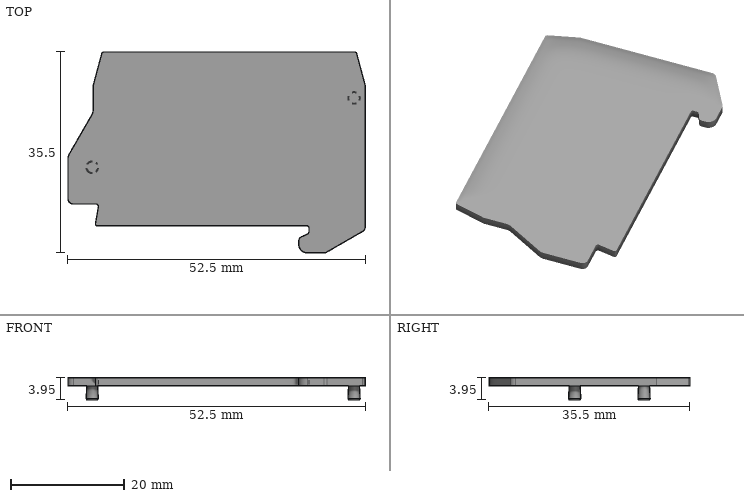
import cadquery as cq
import math

length = 52.5
width = 35.5
plate_thickness = 1.45

shoulder_y = 29.55
shoulder_run = (width - shoulder_y) * math.tan(math.radians(15))

flank_x = 4.45
flank_bottom_y = 24.8
lobe_top_y = flank_bottom_y - flank_x / math.tan(math.radians(30))
lobe_bottom_y = 8.6

lower_edge_y = 4.8
notch_x = 5.45
notch_run = (lobe_bottom_y - lower_edge_y) * math.tan(math.radians(10))

hook_tip_x = 40.75
hook_throat_x = 42.5
hook_throat_y = 3.45
hook_slope_rise = (hook_throat_x - hook_tip_x) * math.tan(math.radians(25))
hook_heel_x = 45.45
hook_heel_rise = (length - hook_heel_x) * math.tan(math.radians(30))

tight_radius = 0.4
lower_edge_radius = 0.3
medium_radius = 1.0
hook_nose_radius = 1.5
hook_lip_radius = 0.8
step_radius = 2.0

peg_centres = [(4.3, 15.1), (50.5, 27.35)]
peg_height = 2.5
peg_root_radius = 1.0
peg_tip_radius = 1.1
peg_chamfer = 0.3
peg_chamfer_inset = 0.15

outline_corners = [
    (flank_x + shoulder_run, width, tight_radius),
    (length - shoulder_run, width, tight_radius),
    (length, shoulder_y, 0),
    (length, hook_heel_rise, medium_radius),
    (hook_heel_x, 0, medium_radius),
    (hook_tip_x, 0, hook_nose_radius),
    (hook_tip_x, hook_throat_y - hook_slope_rise, hook_lip_radius),
    (hook_throat_x, hook_throat_y, tight_radius),
    (hook_throat_x, lower_edge_y, lower_edge_radius),
    (notch_x - notch_run, lower_edge_y, lower_edge_radius),
    (notch_x, lobe_bottom_y, tight_radius),
    (0, lobe_bottom_y, medium_radius),
    (0, lobe_top_y, step_radius),
    (flank_x, flank_bottom_y, step_radius),
    (flank_x, shoulder_y, 0),
]


def make_plate():
    points = [(x, y) for x, y, radius in outline_corners]
    plate = cq.Workplane("XY").polyline(points).close().extrude(plate_thickness)
    for x, y, radius in outline_corners:
        if radius > 0:
            corner = cq.selectors.NearestToPointSelector((x, y, plate_thickness / 2))
            plate = plate.edges("|Z").edges(corner).fillet(radius)
    return plate


def make_peg(x, y):
    """Round peg that widens slightly downwards and ends in a chamfered tip."""
    half_profile = [
        (0, 0),
        (-peg_root_radius, 0),
        (-peg_tip_radius, peg_chamfer - peg_height),
        (peg_chamfer_inset - peg_tip_radius, -peg_height),
        (0, -peg_height),
    ]
    profile = cq.Workplane("YZ").polyline(half_profile).close()
    return profile.revolve(360, (0, 0), (0, 1)).translate((x, y, 0))


result = make_plate()
for peg_x, peg_y in peg_centres:
    result = result.union(make_peg(peg_x, peg_y))